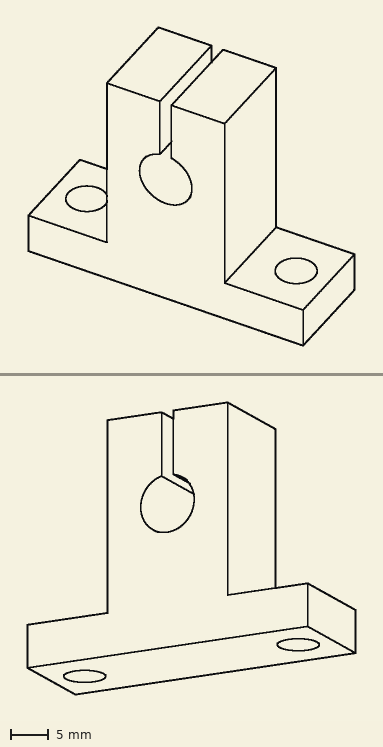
import cadquery as cq

base_length = 42.0
depth = 14.0
base_thickness = 6.0

block_width = 18.0
total_height = 32.8

bore_diameter = 8.02
bore_height = 20.0
slit_width = 1.75

mount_hole_diameter = 5.6
mount_hole_spacing = 32.0


def standing_box(width, bottom, top):
    """Full-depth box centred on X and Y, between two heights."""
    height = top - bottom
    return cq.Workplane("XY").workplane(offset=bottom).box(width, depth, height, centered=(True, True, False))


def make_body():
    """Inverted T: the base flange with the upright block on it."""
    base = standing_box(base_length, 0, base_thickness)
    block = standing_box(block_width, 0, total_height)
    return base.union(block)


def cut_shaft_clamp(body):
    """Bore for the shaft, opened to the top by the slit."""
    bore = (
        cq.Workplane("XZ")
        .center(0, bore_height)
        .circle(bore_diameter / 2)
        .extrude(depth / 2, both=True)
    )
    slit = standing_box(slit_width, bore_height, total_height)
    return body.cut(bore).cut(slit)


def cut_mount_holes(body):
    """One vertical through hole in each wing of the base."""
    holes = (
        cq.Workplane("XY")
        .rarray(mount_hole_spacing, 0.4, 2, 1)
        .circle(mount_hole_diameter / 2)
        .extrude(base_thickness)
    )
    return body.cut(holes)


result = cut_mount_holes(cut_shaft_clamp(make_body()))